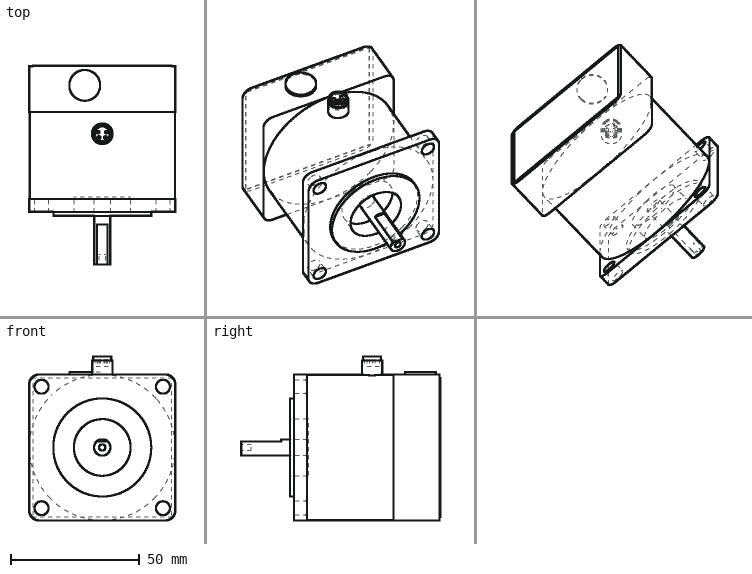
import cadquery as cq

side = 56.8
corner_radius = 4.0
body_diameter = 56.6

overall_length = 77.3
overall_height = 63.8
shaft_reach = 20.5
flange_thickness = 5.0
housing_start = 38.65
cover_thickness = 0.2
cover_width = 53.9

mount_hole_diameter = 5.4
mount_hole_spacing = 47.15

pilot_diameter = 38.1
pilot_height = 1.6
bore_diameter = 22.0
bore_depth = 5.7

shaft_diameter = 6.3
flat_length = 15.45
flat_height = 2.4
center_hole_diameter = 2.5
center_hole_depth = 3.9

cap_diameter = 12.0
cap_height = 0.9
cap_x = -6.8
cap_y = 49.1

connector_y = 30.3
connector_diameter = 8.0
connector_rim_diameter = 7.0
connector_rim_height = 1.6
socket_diameter = 5.8
socket_depth = 3.9
connector_embed = 2.3
pin_diameter = 1.0
pin_length = 3.6
pin_tip_radius = 0.3
pin_rows = ((1.6, 0.6), (1.2, -1.5))

rear_face = overall_length - shaft_reach
housing_end = rear_face - cover_thickness
top_face = side / 2
connector_top = overall_height - side / 2
socket_floor = connector_top - socket_depth
connector_root = top_face - connector_embed


def cylinder_y(diameter, start, end):
    """Cylinder on the shaft axis between two Y positions."""
    return cq.Workplane("XZ", origin=(0, start, 0)).circle(diameter / 2).extrude(start - end)


def cylinder_z(diameter, x, y, start, end):
    """Upright cylinder between two Z positions."""
    return cq.Workplane("XY", origin=(x, y, start)).circle(diameter / 2).extrude(end - start)


def rounded_block(start, end):
    """Square block with rounded corners between two Y positions."""
    block = cq.Workplane("XZ", origin=(0, start, 0)).rect(side, side).extrude(start - end)
    return block.edges("|Y").fillet(corner_radius)


def make_flange():
    flange = rounded_block(0, flange_thickness)
    holes = (
        cq.Workplane("XZ")
        .rect(mount_hole_spacing, mount_hole_spacing, forConstruction=True)
        .vertices()
        .circle(mount_hole_diameter / 2)
        .extrude(-flange_thickness)
    )
    return flange.cut(holes)


def make_rear_housing():
    housing = rounded_block(housing_start, housing_end)
    cover = cq.Workplane("XZ", origin=(0, housing_end, 0)).rect(cover_width, cover_width)
    return housing.union(cover.extrude(-cover_thickness))


def make_shaft():
    tip = -shaft_reach
    shaft = cylinder_y(shaft_diameter, tip, bore_depth)
    flat_cut = cq.Workplane("XY", origin=(0, tip, flat_height)).box(
        shaft_diameter, flat_length, shaft_diameter, centered=(True, False, False)
    )
    center_hole = cylinder_y(center_hole_diameter, tip, tip + center_hole_depth)
    return shaft.cut(flat_cut).cut(center_hole)


def make_connector():
    shoulder = connector_top - connector_rim_height
    connector = cylinder_z(connector_diameter, 0, connector_y, connector_root, shoulder)
    rim = cylinder_z(connector_rim_diameter, 0, connector_y, shoulder, connector_top)
    return connector.union(rim)


def make_pins():
    pins = cq.Workplane("XY")
    for half_spacing, offset in pin_rows:
        for x in (-half_spacing, half_spacing):
            pin_y = connector_y + offset
            pin = cylinder_z(pin_diameter, x, pin_y, socket_floor, socket_floor + pin_length)
            pins = pins.union(pin.faces(">Z").edges().fillet(pin_tip_radius))
    return pins


body = cylinder_y(body_diameter, flange_thickness, housing_start)
pilot = cylinder_y(pilot_diameter, -pilot_height, 0)
bore = cylinder_y(bore_diameter, -pilot_height, bore_depth)
cap = cylinder_z(cap_diameter, cap_x, cap_y, top_face, top_face + cap_height)
socket = cylinder_z(socket_diameter, 0, connector_y, socket_floor, connector_top)

result = body.union(make_flange()).union(make_rear_housing()).union(pilot)
result = result.cut(bore).union(make_shaft()).union(cap)
result = result.union(make_connector()).cut(socket).union(make_pins())